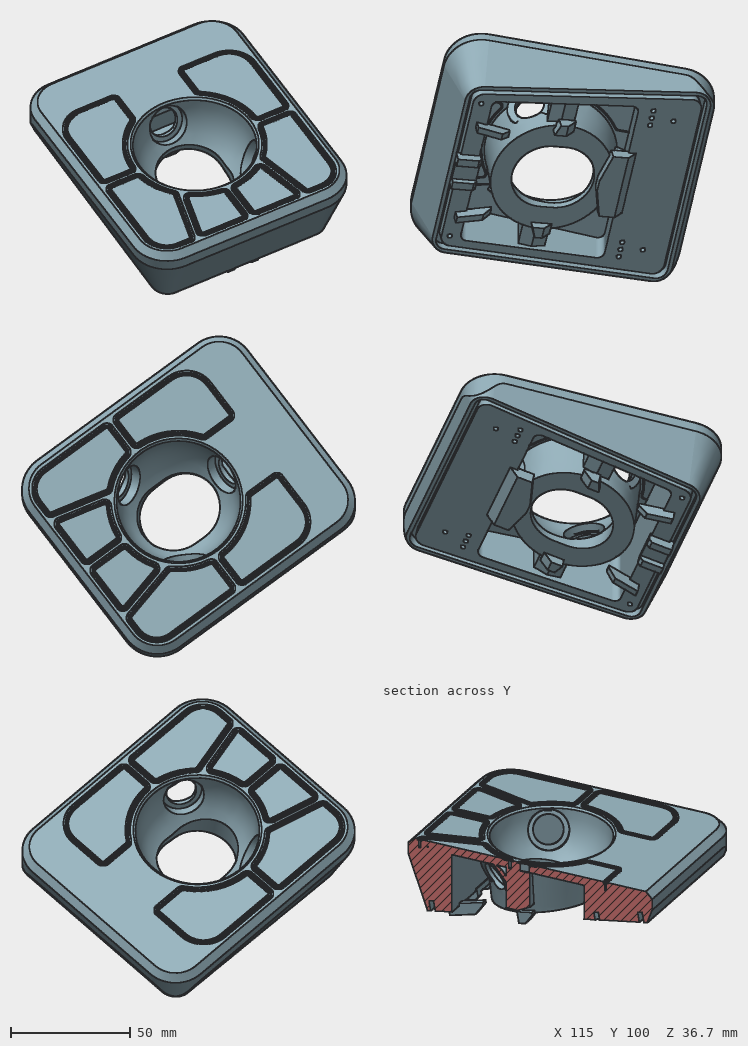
import cadquery as cq
import math

LENGTH = 115.0
WIDTH = 100.0
FRONT_RADIUS = 15.0
BACK_RADIUS = 16.0
TOP_CHAMFER = 3.0
BAND_BOTTOM = 8.0
SIDE_DRAFT = 20.0
DRAFT_DEPTH = 25.3
FRONT_DRAFT_RADIUS = 10.0

BASE_TILT = 10.0
BASE_DEPTH = 24.4
RIM_LIP = 1.7
RIM_GROOVE_WIDTH = 2.0
RIM_GROOVE_DEPTH = 4.6
RIM_GROOVE_RADIUS = 4.6

BOWL_X = 5.0
BOWL_RADIUS = 26.0
BOWL_EDGE_CHAMFER = 0.9
HUB_RADIUS = 28.3
HUB_DRAFT = 6.0
HUB_HEIGHT = 36.8
WINDOW_ALONG = 4.0
WINDOW_LENGTH = 35.4
WINDOW_WIDTH = 29.9
WINDOW_HEIGHT = 20.7
SCREW_ANGLES = (60, 180, 300)
SCREW_DIP = 23.0
SCREW_DIAMETER = 12.9
SEAT_DIAMETER = 17.4
SEAT_DISTANCE = 28.8
BOSS_DIAMETER = 19.5
BOSS_END = 30.6
SCREW_HOLE_END = 31.7

PLATE_THICKNESS = 4.0
CAVITY_START = -25.3
CAVITY_END = 36.8
CAVITY_START_HALF_WIDTH = 38.0
CAVITY_END_HALF_WIDTH = 34.5
CAVITY_RADIUS = 3.0
RIB_START = 0.0
RIB_END = 11.5
RIB_SLANT_TOP = 20.0
RIB_BOTTOM = 23.0
RIB_SLANT_LENGTH = 5.8

PANEL_START = -36.5
PANEL_END = 53.1
PANEL_HALF_WIDTH = 45.4
PANEL_FRONT_RADIUS = 12.6
PANEL_BACK_RADIUS = 11.0
PANEL_CORNER_RADIUS = 2.9
PANEL_HUB_RADIUS = 28.2
WEB_WIDTH = 1.3
CROSS_WEB_X = 7.1
SLANT_WEB_POINT = (39.0, 22.4)
SLANT_WEB_ANGLE = 14.0
PLAIN_HALF_WIDTH = 14.4
GROOVE_WIDTH = 2.1
GROOVE_DEPTH = 0.6
SLIT_INSET = 0.8
SLIT_WIDTH = 0.6

HOOK_DEPTH = 4.1
HOOK_LEAD = 4.0
HOOK_ROOT = 1.2
BRIDGE_DEPTH = 1.4
END_HOOK_UPRIGHT = 2.6
TAB_OUTLINE = [(-29.0, 14.8), (-18.4, 14.8), (-15.0, 2.3)]
SIDE_HOOK = [(-0.2, 23.0), (-0.2, 27.8), (6.9, 27.8), (8.7, 23.0)]
ANGLED_HOOK = [(27.0, 17.8), (42.0, 21.0), (42.0, 23.8), (27.0, 20.6)]
END_HOOK = [(36.8, 4.0), (47.4, 4.0), (47.4, 7.4), (36.8, 7.4)]
PIN_DIAMETER = 2.0
PIN_DEPTH = 3.5
PIN_PLACES = ((-41.6, 32.1), (-32.1, 29.2), (-32.1, 32.8), (-32.1, 36.3), (42.0, 33.0))

SIN_TILT = math.sin(math.radians(BASE_TILT))
COS_TILT = math.cos(math.radians(BASE_TILT))
DRAFT_SLOPE = math.tan(math.radians(SIDE_DRAFT))
BELOW = 69.0
HALF_LENGTH = LENGTH / 2


def base_plane(depth=0.0):
    """Plane parallel to the underside, `depth` inside the body, facing outward (down)."""
    origin = (depth * SIN_TILT, 0, -BASE_DEPTH + depth * COS_TILT)
    return cq.Workplane(cq.Plane(origin, xDir=(COS_TILT, 0, -SIN_TILT), normal=(-SIN_TILT, 0, -COS_TILT)))


def block(x_min, x_max, half_width, height):
    """Upright block below the top face, symmetric about y = 0."""
    return (
        cq.Workplane("XY")
        .center((x_min + x_max) / 2, 0)
        .rect(x_max - x_min, 2 * half_width)
        .extrude(-height)
    )


def make_body():
    upright = block(-HALF_LENGTH, HALF_LENGTH, WIDTH / 2, BAND_BOTTOM + DRAFT_DEPTH)
    upright = upright.edges("|Z and <X").fillet(FRONT_RADIUS).edges("|Z and >X").fillet(BACK_RADIUS)
    upright = upright.faces(">Z").chamfer(TOP_CHAMFER)
    band = block(-HALF_LENGTH, HALF_LENGTH, WIDTH / 2, BAND_BOTTOM)
    outline = (
        cq.Sketch()
        .rect(LENGTH, WIDTH)
        .vertices("<X").fillet(FRONT_DRAFT_RADIUS)
        .reset().vertices(">X").fillet(BACK_RADIUS)
    )
    skirt = (
        cq.Workplane("XY", origin=(0, 0, -BAND_BOTTOM))
        .placeSketch(outline)
        .extrude(-DRAFT_DEPTH, taper=SIDE_DRAFT)
    )
    below_base = base_plane().rect(3 * LENGTH, 3 * WIDTH).extrude(BELOW)
    return upright.intersect(band.union(skirt)).cut(below_base)


def base_edge(along):
    """Half width of the underside at a distance along its slope."""
    depth = BASE_DEPTH + along * SIN_TILT
    return WIDTH / 2 - DRAFT_SLOPE * (depth - BAND_BOTTOM)


def end_along(side):
    """Distance along the slope to the -X (side -1) or +X (side +1) edge of the underside."""
    inset_at_zero = DRAFT_SLOPE * (BASE_DEPTH - BAND_BOTTOM)
    return (HALF_LENGTH - inset_at_zero) / (side * COS_TILT + DRAFT_SLOPE * SIN_TILT)


def base_outline(inset):
    """Prism on the underside whose walls run parallel to its edge."""
    start = end_along(-1) + inset
    end = end_along(1) - inset
    start_half = base_edge(start) - inset
    end_half = base_edge(end) - inset
    prism = (
        base_plane(RIM_GROOVE_DEPTH)
        .polyline([(start, -start_half), (end, -end_half), (end, end_half), (start, start_half)])
        .close()
        .extrude(RIM_GROOVE_DEPTH)
    )
    across_base = cq.selectors.ParallelDirSelector(cq.Vector(SIN_TILT, 0, COS_TILT))
    return prism.edges(across_base).fillet(RIM_GROOVE_RADIUS)


def make_cavity():
    cavity = (
        cq.Workplane("XY", origin=(0, 0, -PLATE_THICKNESS))
        .polyline([
            (CAVITY_START, -CAVITY_START_HALF_WIDTH),
            (CAVITY_END, -CAVITY_END_HALF_WIDTH),
            (CAVITY_END, CAVITY_END_HALF_WIDTH),
            (CAVITY_START, CAVITY_START_HALF_WIDTH),
        ])
        .close()
        .extrude(-BELOW)
        .edges("|Z")
        .fillet(CAVITY_RADIUS)
    )
    hub = cq.Workplane("XY").center(BOWL_X, 0).circle(HUB_RADIUS).extrude(-HUB_HEIGHT, taper=HUB_DRAFT)
    rib = (
        cq.Workplane("XZ")
        .polyline([
            (RIB_START, 0),
            (RIB_START, -RIB_SLANT_TOP),
            (RIB_START + RIB_SLANT_LENGTH, -RIB_BOTTOM),
            (RIB_END, -RIB_BOTTOM),
            (RIB_END, 0),
        ])
        .close()
        .extrude(WIDTH / 2, both=True)
    )
    cavity = cavity.cut(hub).cut(rib)
    for angle in SCREW_ANGLES:
        cavity = cavity.cut(screw_cylinder(angle, BOSS_DIAMETER, BOSS_END))
    return cavity


def screw_cylinder(angle, diameter, end):
    """Cylinder from the bowl centre outward along a screw axis."""
    turn = math.radians(angle)
    dip = math.radians(SCREW_DIP)
    axis = (math.cos(turn) * math.cos(dip), math.sin(turn) * math.cos(dip), -math.sin(dip))
    return cq.Workplane(cq.Plane((BOWL_X, 0, 0), normal=axis)).circle(diameter / 2).extrude(end)


def make_bowl():
    bowl = cq.Workplane("XY").sphere(BOWL_RADIUS).translate((BOWL_X, 0, 0))
    edge = (
        cq.Workplane("XY", origin=(BOWL_X, 0, 0))
        .circle(BOWL_RADIUS + BOWL_EDGE_CHAMFER)
        .workplane(offset=-BOWL_EDGE_CHAMFER)
        .circle(BOWL_RADIUS)
        .loft()
    )
    window = (
        base_plane(WINDOW_HEIGHT)
        .center(WINDOW_ALONG, 0)
        .slot2D(WINDOW_LENGTH, WINDOW_WIDTH)
        .extrude(BELOW)
    )
    bowl = bowl.union(edge).union(window)
    for angle in SCREW_ANGLES:
        bowl = bowl.union(screw_cylinder(angle, SEAT_DIAMETER, SEAT_DISTANCE))
        bowl = bowl.union(screw_cylinder(angle, SCREW_DIAMETER, SCREW_HOLE_END))
    return bowl


def make_panels(inset, depth):
    """The six panel shapes, each shrunk by `inset` all round, cut down to `depth`."""
    start = PANEL_START + inset
    end = PANEL_END - inset
    half_width = PANEL_HALF_WIDTH - inset
    web = WEB_WIDTH + 2 * inset
    field = block(start, end, half_width, depth)
    rounded = field.edges("|Z and <X").fillet(PANEL_FRONT_RADIUS - inset)
    rounded = rounded.edges("|Z and >X").fillet(PANEL_BACK_RADIUS - inset)
    hub = cq.Workplane("XY").center(BOWL_X, 0).circle(PANEL_HUB_RADIUS + inset).extrude(-depth)
    cross_web = block(CROSS_WEB_X - web / 2, CROSS_WEB_X + web / 2, WIDTH, depth)
    middle_web = block(BOWL_X, LENGTH, web / 2, depth)
    plain_strip = block(-LENGTH, BOWL_X, PLAIN_HALF_WIDTH + inset, depth)
    panels = field.cut(hub).cut(cross_web).cut(middle_web).cut(plain_strip)
    for side in (1, -1):
        x, y = SLANT_WEB_POINT
        slant_web = (
            cq.Workplane("XY")
            .rect(LENGTH / 2, web)
            .extrude(-depth)
            .rotate((0, 0, 0), (0, 0, 1), side * SLANT_WEB_ANGLE)
            .translate((x, side * y, 0))
        )
        panels = panels.cut(slant_web)
    return panels.edges("|Z").fillet(PANEL_CORNER_RADIUS - inset).intersect(rounded)


def panel_groove(inset, width, depth):
    return make_panels(inset, depth).cut(make_panels(inset + width, depth))


def hook(footprint, upright=0.0):
    """Hook standing on the underside.

    Its leading -X face stands straight for `upright`, then slants back to the tip.
    """
    foot = base_plane(HOOK_ROOT).polyline(footprint).close().extrude(HOOK_ROOT + HOOK_DEPTH)
    start = min(point[0] for point in footprint)
    tip_start = start + HOOK_LEAD * (HOOK_DEPTH - upright) / HOOK_DEPTH
    slant = (
        cq.Workplane("XZ")
        .polyline([(start, -upright), (start, -HOOK_DEPTH), (tip_start, -HOOK_DEPTH)])
        .close()
        .extrude(WIDTH, both=True)
        .rotate((0, 0, 0), (0, 1, 0), BASE_TILT)
        .translate((0, 0, -BASE_DEPTH))
    )
    return foot.cut(slant)


def make_hooks():
    hooks = hook(TAB_OUTLINE + [(x, -y) for x, y in reversed(TAB_OUTLINE)])
    for side in (1, -1):
        for footprint, upright in (
            (SIDE_HOOK, 0.0),
            (ANGLED_HOOK, 0.0),
            (END_HOOK, END_HOOK_UPRIGHT),
        ):
            hooks = hooks.union(hook([(x, side * y) for x, y in footprint], upright))
    (bridge_start, _), (bridge_end, bridge_half) = END_HOOK[:2]
    bridge = (
        base_plane(HOOK_ROOT)
        .center((bridge_start + bridge_end) / 2, 0)
        .rect(bridge_end - bridge_start, 2 * bridge_half)
        .extrude(HOOK_ROOT + BRIDGE_DEPTH)
    )
    return hooks.union(bridge)


def make_pin_holes():
    places = [(x, side * y) for x, y in PIN_PLACES for side in (1, -1)]
    return base_plane(PIN_DEPTH).pushPoints(places).circle(PIN_DIAMETER / 2).extrude(PIN_DEPTH)


rim_groove = base_outline(RIM_LIP).cut(base_outline(RIM_LIP + RIM_GROOVE_WIDTH))
result = (
    make_body()
    .cut(rim_groove)
    .cut(make_cavity())
    .union(make_hooks())
    .cut(make_bowl())
    .cut(panel_groove(0, GROOVE_WIDTH, GROOVE_DEPTH))
    .cut(panel_groove(SLIT_INSET, SLIT_WIDTH, PLATE_THICKNESS))
    .cut(make_pin_holes())
)